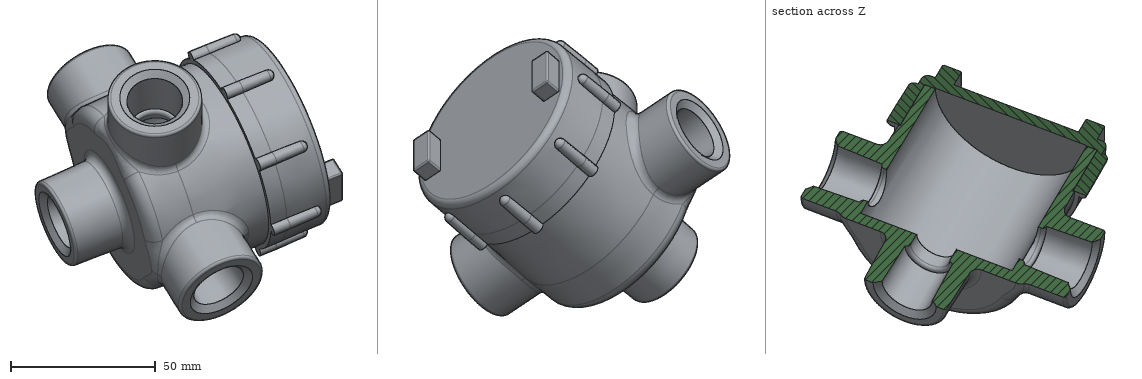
import cadquery as cq
import math


box_mid_radius = 34.2
box_rim_radius = 33.7
box_front_radius = 33.9
front_face_y = -17.7
blank_front_y = -30.5
front_round = 4.9
rim_y = 27.0
spigot_radius = 66.4 / 2
spigot_end_y = 46.7
cavity_radius = 29.0
cavity_floor_y = -13.2

port_radius = 16.3
port_reach = 50.8
front_port_reach = 38.8
front_port_end_radius = 15.7
port_root_round = 3.0
port_end_round = 1.0
mouth_radius = 12.1
mouth_depth = 2.0
socket_outer_radius = 19.2 / 2
socket_inner_radius = 9.0
socket_depth = 17.3
passage_radius = 15.1 / 2

cap_radius = 35.5
cap_back_radius = 35.3
cap_back_y = 51.0
cap_back_round = 2.4
draft_start_y = 33.2

rib_count = 8
rib_circle_radius = 36.0
rib_radius = 2.2
rib_tip_radius = 2.0
rib_end_y = 46.0

lug_spacing = 54.9
lug_width = 7.3
lug_height = 16.3
lug_end_y = 57.2
lug_edge_round = 0.6


def revolve_about_y(profile):
    """Close a (radius, y) profile and revolve it around the Y axis."""
    return profile.close().revolve(360, (0, 0, 0), (0, 1, 0))


def turn_to_side_ports(shape):
    """Copies of a shape that points along -Y, turned to point along +X, -X and +Z."""
    return [
        shape.rotate((0, 0, 0), (0, 0, 1), 90),
        shape.rotate((0, 0, 0), (0, 0, 1), -90),
        shape.rotate((0, 0, 0), (1, 0, 0), -90),
    ]


def make_shell_blank():
    """Solid drafted box, overlong at the front so that the port roots can be rounded in full."""
    front_draft = (box_mid_radius - box_front_radius) / front_face_y
    blank_front_radius = box_mid_radius - front_draft * blank_front_y
    return revolve_about_y(
        cq.Workplane("XY")
        .moveTo(0, blank_front_y)
        .lineTo(blank_front_radius, blank_front_y)
        .lineTo(box_mid_radius, 0)
        .lineTo(box_rim_radius, rim_y)
        .lineTo(0, rim_y)
    )


def make_side_port():
    stub = cq.Workplane("XZ").circle(port_radius).extrude(port_reach)
    return stub.faces("<Y").edges().fillet(port_end_round)


def make_front_port():
    """Tapered stub with a rounded end and a flared root on the front face."""
    flare_radius = port_radius + port_root_round
    flare_end_y = front_face_y - port_root_round
    flare_mid_step = port_root_round * (1 - math.sqrt(0.5))
    stub = revolve_about_y(
        cq.Workplane("XY")
        .moveTo(0, cavity_floor_y)
        .lineTo(flare_radius, cavity_floor_y)
        .lineTo(flare_radius, front_face_y)
        .threePointArc(
            (port_radius + flare_mid_step, front_face_y - flare_mid_step),
            (port_radius, flare_end_y),
        )
        .lineTo(front_port_end_radius, -front_port_reach)
        .lineTo(0, -front_port_reach)
    )
    return stub.faces("<Y").edges().fillet(port_end_round)


def make_port_bore(reach):
    """Flared mouth, tapered conduit socket, rounded stop lip and passage into the box."""
    socket_start_y = mouth_depth - reach
    socket_end_y = socket_start_y + socket_depth
    lip_round = socket_inner_radius - passage_radius
    lip_mid_step = lip_round * (1 - math.sqrt(0.5))
    return revolve_about_y(
        cq.Workplane("XY")
        .lineTo(passage_radius, 0)
        .lineTo(passage_radius, socket_end_y + lip_round)
        .threePointArc(
            (passage_radius + lip_mid_step, socket_end_y + lip_mid_step),
            (socket_inner_radius, socket_end_y),
        )
        .lineTo(socket_outer_radius, socket_start_y)
        .lineTo(mouth_radius, -reach)
        .lineTo(0, -reach)
    )


def make_spigot():
    """Plain cylinder of the box that fills the recess of the cap."""
    return cq.Workplane("XZ", origin=(0, rim_y, 0)).circle(spigot_radius).extrude(rim_y - spigot_end_y)


def make_box():
    box = make_shell_blank()
    for port in turn_to_side_ports(make_side_port()):
        box = box.union(port)

    box = box.edges("%BSPLINE").fillet(port_root_round)

    front_excess = (
        cq.Workplane("XZ", origin=(0, front_face_y, 0))
        .circle(port_reach)
        .extrude(front_face_y - blank_front_y)
    )
    box = box.cut(front_excess)
    box = box.faces("<Y").edges().fillet(front_round)

    box = box.union(make_front_port())
    box = box.union(make_spigot())

    cavity = (
        cq.Workplane("XZ", origin=(0, cavity_floor_y, 0))
        .circle(cavity_radius)
        .extrude(cavity_floor_y - spigot_end_y)
    )
    box = box.cut(cavity)
    for bore in turn_to_side_ports(make_port_bore(port_reach)):
        box = box.cut(bore)
    return box.cut(make_port_bore(front_port_reach))


def make_rib():
    """Round-ended rib along Y on the cap side, straight at the skirt and drafted behind it."""
    tip_center_y = rib_end_y - rib_tip_radius
    tip_mid_step = rib_tip_radius * math.sqrt(0.5)
    rib = revolve_about_y(
        cq.Workplane("XY")
        .moveTo(0, rim_y)
        .lineTo(rib_radius, rim_y)
        .lineTo(rib_radius, draft_start_y)
        .lineTo(rib_tip_radius, tip_center_y)
        .threePointArc((tip_mid_step, tip_center_y + tip_mid_step), (0, rib_end_y))
    )
    return rib.translate((rib_circle_radius, 0, 0))


def make_lug():
    return (
        cq.Workplane("XZ", origin=(0, cap_back_y, 0))
        .rect(lug_width, lug_height)
        .extrude(cap_back_y - lug_end_y)
        .edges("|Y or >Y")
        .fillet(lug_edge_round)
    )


def make_cap():
    cap = revolve_about_y(
        cq.Workplane("XY")
        .moveTo(0, rim_y)
        .lineTo(cap_radius, rim_y)
        .lineTo(cap_radius, draft_start_y)
        .lineTo(cap_back_radius, cap_back_y)
        .lineTo(0, cap_back_y)
    )
    cap = cap.faces(">Y").edges().fillet(cap_back_round)

    rib = make_rib()
    for index in range(rib_count):
        cap = cap.union(rib.rotate((0, 0, 0), (0, 1, 0), index * 360 / rib_count))

    lug = make_lug()
    for side in (-1, 1):
        cap = cap.union(lug.translate((side * lug_spacing / 2, 0, 0)))

    return cap.cut(make_spigot())


box = make_box()
cap = make_cap()
result = cq.Compound.makeCompound([box.solids().val(), cap.solids().val()])